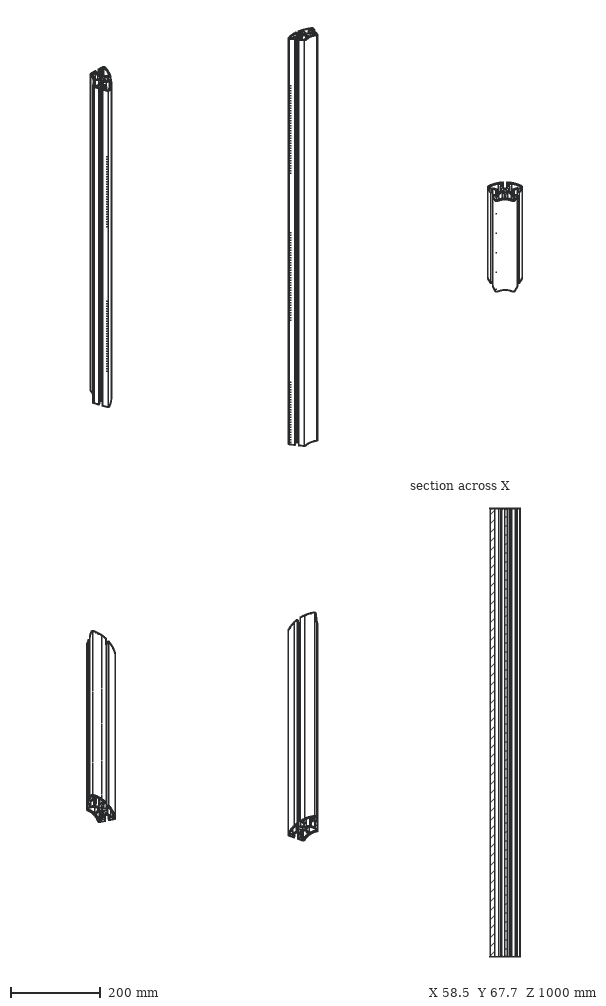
import cadquery as cq
import math

length = 1000.0
inner_radius = 40.0
outer_radius = 80.0
sector_angle = 60.0
corner_radius = 4.0
z_axis = ((0, 0, 0), (0, 0, 1))
mid_angle = sector_angle / 2
mid_radius = (inner_radius + outer_radius) / 2

bore_diameter = 6.8

slot_half_opening = 4.2
slot_lip_depth = 5.0

end_cavity_half_width = 9.0
end_shoulder_depth = 6.0
end_floor_half_width = 4.5
end_slot_depth = 13.0
groove_half_width = 1.0
groove_depth = 1.0

outer_cavity_half_width = 6.5
outer_shoulder_depth = 8.5
outer_floor_half_width = 4.5
outer_slot_depth = 14.0

outer_skin = 2.5
outer_hollow_start, outer_hollow_end = 2.0, 19.0
inner_skin = 3.5
inner_hollow_start, inner_hollow_end = 3.0, 28.0
slot_floor_wall = 3.0
core_bottom = 24.0


def polar(radius, degrees):
    angle = math.radians(degrees)
    return (radius * math.cos(angle), radius * math.sin(angle))


def add_arc(sketch, radius, start, end):
    """Continue a sketch along an arc about the Z axis."""
    return sketch.threePointArc(polar(radius, (start + end) / 2), polar(radius, end))


def mirror_across_middle(body):
    """Reflect a body in the symmetry plane of the section."""
    return body.rotate(*z_axis, -mid_angle).mirror("XZ").rotate(*z_axis, mid_angle)


def sector_body():
    sketch = cq.Workplane("XY").moveTo(*polar(inner_radius, 0)).lineTo(*polar(outer_radius, 0))
    sketch = add_arc(sketch, outer_radius, 0, sector_angle)
    sketch = sketch.lineTo(*polar(inner_radius, sector_angle))
    sketch = add_arc(sketch, inner_radius, sector_angle, 0)
    return sketch.close().extrude(length).edges("|Z").fillet(corner_radius)


def slot_prism(half_profile, floor_middle):
    """Symmetric slot running along Z, opening at y = 0 and deepening toward +Y."""
    other_half = [(-width, depth) for width, depth in reversed(half_profile)]
    outline = half_profile + floor_middle + other_half
    return cq.Workplane("XY").polyline(outline).close().extrude(length)


def end_slot():
    """T-slot in the flat end face, with a shallow V groove along its floor."""
    half_profile = [
        (slot_half_opening, 0),
        (slot_half_opening, slot_lip_depth),
        (end_cavity_half_width, slot_lip_depth),
        (end_cavity_half_width, end_shoulder_depth),
        (end_floor_half_width, end_slot_depth),
        (groove_half_width, end_slot_depth),
    ]
    groove_bottom = (0, end_slot_depth + groove_depth)
    return slot_prism(half_profile, [groove_bottom]).translate((mid_radius, 0, 0))


def outer_slot():
    """T-slot in the middle of the convex side."""
    half_profile = [
        (slot_half_opening, 0),
        (slot_half_opening, slot_lip_depth),
        (outer_cavity_half_width, slot_lip_depth),
        (outer_cavity_half_width, outer_shoulder_depth),
        (outer_floor_half_width, outer_slot_depth),
    ]
    facing_x = slot_prism(half_profile, []).rotate(*z_axis, 90).translate((outer_radius, 0, 0))
    return facing_x.rotate(*z_axis, mid_angle)


def hollow(skin_radius, start, end, web_points):
    """Chamber behind a curved skin; web points are offsets from the end slot's centre."""
    sketch = cq.Workplane("XY").moveTo(*polar(skin_radius, start))
    sketch = add_arc(sketch, skin_radius, start, end)
    for offset, height in web_points:
        sketch = sketch.lineTo(mid_radius + offset, height)
    return sketch.close().extrude(length)


def outer_hollow():
    """Chamber between the outer skin, the outer slot, the core and the end slot."""
    floor_top = end_slot_depth + slot_floor_wall
    web_points = [
        (9.0, 30.0),
        (3.5, core_bottom),
        (-3.0, core_bottom),
        (-4.5, floor_top),
        (4.0, floor_top),
        (11.0, 10.0),
        (14.0, 3.0),
    ]
    return hollow(outer_radius - outer_skin, outer_hollow_start, outer_hollow_end, web_points)


def inner_hollow():
    """Chamber between the inner skin, the middle web, the core and the end slot."""
    web_points = [
        (-14.0, 25.0),
        (-7.0, 23.0),
        (-8.0, 14.0),
        (-13.0, 4.0),
    ]
    return hollow(inner_radius + inner_skin, inner_hollow_start, inner_hollow_end, web_points)


def bore():
    """Screw bore through the core, on the symmetry plane."""
    centre = polar(mid_radius, mid_angle)
    return cq.Workplane("XY").center(*centre).circle(bore_diameter / 2).extrude(length)


result = sector_body().cut(outer_slot()).cut(bore())
for cavity in (end_slot(), outer_hollow(), inner_hollow()):
    result = result.cut(cavity).cut(mirror_across_middle(cavity))